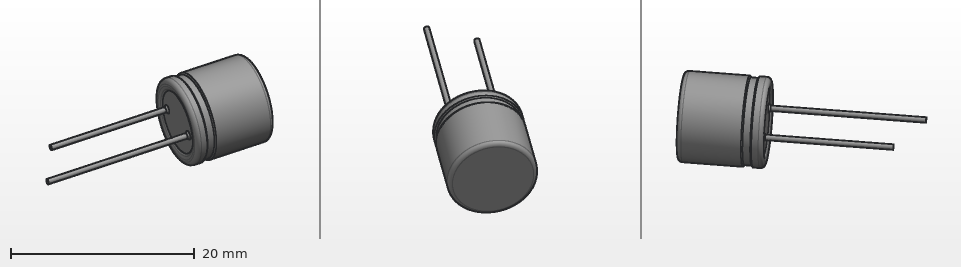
import cadquery as cq
import math

total_length = 26.5
can_diameter = 10.0
can_length = 9.51
can_radius = can_diameter / 2
edge_radius = 0.5

groove_depth = 0.19
groove_start = 1.27
groove_end = 2.4
groove_chamfer = 0.15

rim_corner = 0.55
rim_flat_outer_radius = can_radius - rim_corner
rim_flat_inner_radius = 4.2
rim_inner_radius = 3.82
seal_radius = 3.58
seal_depth = 0.26
rim_slope = math.radians(33)

lead_spacing = 5.0
lead_radius = 0.32
long_lead = total_length - can_length
lead_length_difference = 3.0
short_lead = long_lead - lead_length_difference
collar_radius = 0.5
collar_height = 0.26


def make_can():
    """Revolve the half section of the can, drawn as (radius, Y), about the Y axis."""
    groove_radius = can_radius - groove_depth
    lip_radius = (rim_flat_inner_radius - rim_inner_radius) / math.sin(rim_slope)
    lip_drop = lip_radius * (1 - math.cos(rim_slope))
    lip_middle = (
        rim_flat_inner_radius - lip_radius * math.sin(rim_slope / 2),
        lip_radius * (1 - math.cos(rim_slope / 2)),
    )
    diagonal = math.sqrt(0.5)

    def round_middle(center_x, center_y, radius, side_x, side_y):
        return (center_x + side_x * radius * diagonal, center_y + side_y * radius * diagonal)

    profile = (
        cq.Workplane("XY")
        .moveTo(0, seal_depth)
        .lineTo(seal_radius, seal_depth)
        .lineTo(rim_inner_radius, lip_drop)
        .threePointArc(lip_middle, (rim_flat_inner_radius, 0))
        .lineTo(rim_flat_outer_radius, 0)
        .threePointArc(
            round_middle(rim_flat_outer_radius, rim_corner, rim_corner, 1, -1),
            (can_radius, rim_corner),
        )
        .lineTo(can_radius, groove_start)
        .lineTo(groove_radius, groove_start + groove_chamfer)
        .lineTo(groove_radius, groove_end - groove_chamfer)
        .lineTo(can_radius, groove_end)
        .lineTo(can_radius, can_length - edge_radius)
        .threePointArc(
            round_middle(can_radius - edge_radius, can_length - edge_radius, edge_radius, 1, 1),
            (can_radius - edge_radius, can_length),
        )
        .lineTo(0, can_length)
        .close()
    )
    return profile.revolve(360, (0, 0, 0), (0, 1, 0))


def make_lead(x, length):
    """A round lead with a tapered collar where it leaves the seal."""
    profile = (
        cq.Workplane("XY")
        .moveTo(x, can_length / 2)
        .lineTo(x + collar_radius, can_length / 2)
        .lineTo(x + collar_radius, seal_depth)
        .lineTo(x + lead_radius, seal_depth - collar_height)
        .lineTo(x + lead_radius, -length)
        .lineTo(x, -length)
        .close()
    )
    return profile.revolve(360, (x, 0, 0), (x, 1, 0))


result = (
    make_can()
    .union(make_lead(-lead_spacing / 2, short_lead))
    .union(make_lead(lead_spacing / 2, long_lead))
)